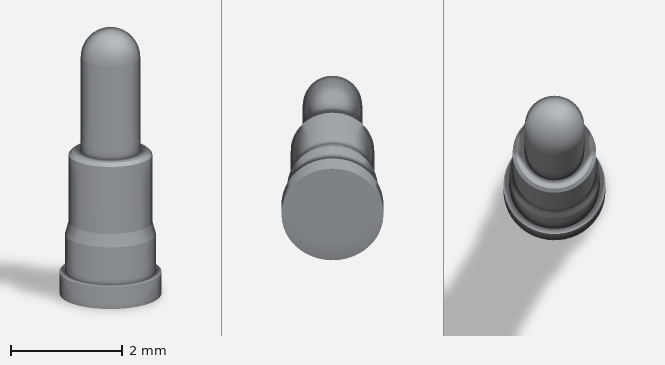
import cadquery as cq

total_height = 5.0
flange_diameter = 1.83
collar_diameter = 1.63
barrel_diameter = 1.5
plunger_diameter = 1.07

flange_top = 0.42
collar_top = 1.13
taper_top = 1.37
barrel_top = 2.69
barrel_chamfer = 0.06

flange_radius = flange_diameter / 2
collar_radius = collar_diameter / 2
barrel_radius = barrel_diameter / 2
plunger_radius = plunger_diameter / 2

dome_base = total_height - plunger_radius


def half_profile():
    """Half section in the XZ plane, from the axis out and up to the dome tip."""
    return (
        cq.Workplane("XZ")
        .moveTo(0, 0)
        .lineTo(flange_radius, 0)
        .lineTo(flange_radius, flange_top)
        .lineTo(collar_radius, flange_top)
        .lineTo(collar_radius, collar_top)
        .lineTo(barrel_radius, taper_top)
        .lineTo(barrel_radius, barrel_top - barrel_chamfer)
        .lineTo(barrel_radius - barrel_chamfer, barrel_top)
        .lineTo(plunger_radius, barrel_top)
        .lineTo(plunger_radius, dome_base)
        .tangentArcPoint((0, total_height), relative=False)
        .close()
    )


result = half_profile().revolve(360, (0, 0, 0), (0, 1, 0))